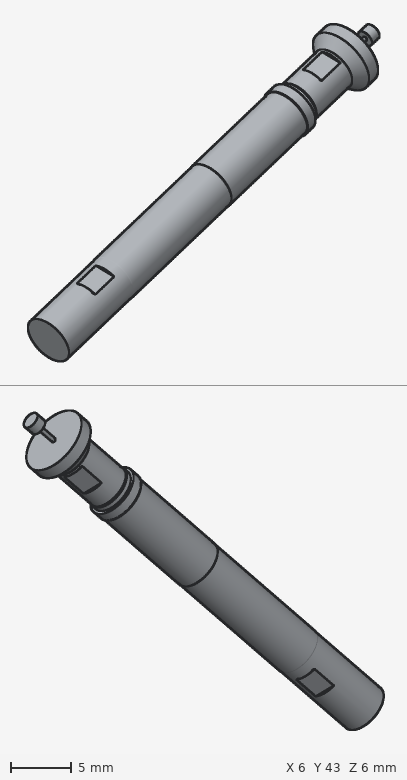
import cadquery as cq

overall_length = 43.0

tip_diameter = 1.5
stem_diameter = 0.4
flange_diameter = 6.0
neck_diameter = 4.0
throat_diameter = 4.1
collar_diameter = 4.7
front_barrel_diameter = 4.5
rear_barrel_diameter = 4.45
tail_diameter = 4.4

tip_thickness = 1.0
stem_length = 2.0
flange_thickness = 1.2
throat_length = 0.5
collar_length = 1.0
front_barrel_length = 10.0
tail_length = 8.5
taper_length = 0.1

flange_face_y = overall_length - tip_thickness - stem_length
cone_start_y = flange_face_y - flange_thickness
cone_end_y = cone_start_y - (flange_diameter - neck_diameter) / 2
throat_y = 33.0
collar_front_y = throat_y - throat_length
collar_rear_y = collar_front_y - collar_length
barrel_joint_y = collar_rear_y - front_barrel_length

flat_length = 2.5
neck_flat_center_y = 36.25
neck_across_flats = 3.5
tail_flat_center_y = 6.25
tail_across_flats = 3.95


def turned_section(diameter, start_y, end_y):
    """Cylinder on the Y axis between two stations."""
    return (
        cq.Workplane("XZ", origin=(0, start_y, 0))
        .circle(diameter / 2)
        .extrude(start_y - end_y)
    )


def tapered_section(start_diameter, end_diameter, start_y, end_y):
    """Cone frustum on the Y axis between two stations."""
    return (
        cq.Workplane("XY")
        .moveTo(0, start_y)
        .lineTo(start_diameter / 2, start_y)
        .lineTo(end_diameter / 2, end_y)
        .lineTo(0, end_y)
        .close()
        .revolve(360, (0, 0, 0), (0, 1, 0))
    )


def make_body():
    """All turned sections, joined from tail to tip."""
    barrel_start_y = tail_length + taper_length
    neck_start_y = throat_y + taper_length
    stem_end_y = flange_face_y + stem_length
    return (
        turned_section(tail_diameter, 0, tail_length)
        .union(tapered_section(tail_diameter, rear_barrel_diameter, tail_length, barrel_start_y))
        .union(turned_section(rear_barrel_diameter, barrel_start_y, barrel_joint_y))
        .union(turned_section(front_barrel_diameter, barrel_joint_y, collar_rear_y))
        .union(turned_section(collar_diameter, collar_rear_y, collar_front_y))
        .union(turned_section(throat_diameter, collar_front_y, throat_y))
        .union(tapered_section(throat_diameter, neck_diameter, throat_y, neck_start_y))
        .union(turned_section(neck_diameter, neck_start_y, cone_end_y))
        .union(tapered_section(neck_diameter, flange_diameter, cone_end_y, cone_start_y))
        .union(turned_section(flange_diameter, cone_start_y, flange_face_y))
        .union(turned_section(stem_diameter, flange_face_y, stem_end_y))
        .union(turned_section(tip_diameter, stem_end_y, overall_length))
    )


def cut_flats(body, center_y, across_flats):
    """Mill a pair of parallel flats on the top and bottom of the body."""
    cutter_size = flange_diameter
    for side in (1, -1):
        cutter_z = side * (across_flats + cutter_size) / 2
        cutter = cq.Workplane("XY").box(cutter_size, flat_length, cutter_size)
        body = body.cut(cutter.translate((0, center_y, cutter_z)))
    return body


result = make_body()
result = cut_flats(result, neck_flat_center_y, neck_across_flats)
result = cut_flats(result, tail_flat_center_y, tail_across_flats)